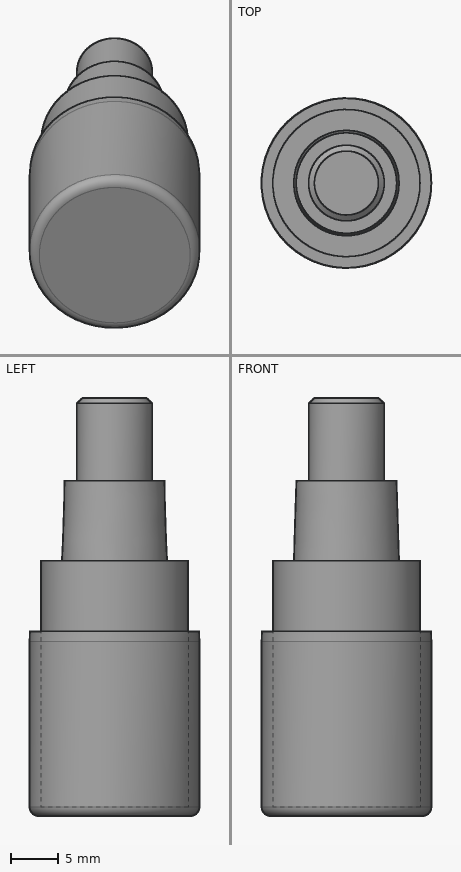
import cadquery as cq

TOTAL_HEIGHT = 44.25

SLEEVE_DIAMETER = 18.0
SLEEVE_HEIGHT = 19.55
BASE_FILLET = 1.0
RIM_HEIGHT = 1.05
RIM_TOP_DIAMETER = 17.9

SHANK_DIAMETER = 15.58
SHANK_TOP = 27.05
TAPER_BOTTOM_DIAMETER = 11.15
TAPER_TOP_DIAMETER = 10.6
TAPER_TOP = 35.5
TIP_DIAMETER = 8.0
TIP_CHAMFER_HEIGHT = 0.58
TIP_FLAT_DIAMETER = 6.75

SOCKET_FLOOR = BASE_FILLET


def revolve_about_z(profile):
    """Turn a closed (radius, height) outline into a solid of revolution about Z."""
    return profile.close().revolve(360, (0, 0, 0), (0, 1, 0))


def make_sleeve():
    """Round cup with a rounded base edge, a slightly tapered rim and a blind socket for the pin."""
    outer_radius = SLEEVE_DIAMETER / 2
    socket_radius = SHANK_DIAMETER / 2
    profile = (
        cq.Workplane("XZ")
        .moveTo(0, 0)
        .lineTo(outer_radius - BASE_FILLET, 0)
        .radiusArc((outer_radius, BASE_FILLET), -BASE_FILLET)
        .lineTo(outer_radius, SLEEVE_HEIGHT - RIM_HEIGHT)
        .lineTo(RIM_TOP_DIAMETER / 2, SLEEVE_HEIGHT)
        .lineTo(socket_radius, SLEEVE_HEIGHT)
        .lineTo(socket_radius, SOCKET_FLOOR)
        .lineTo(0, SOCKET_FLOOR)
    )
    return revolve_about_z(profile)


def make_pin():
    """Turned pin: straight shank, slightly tapered collar and chamfered tip."""
    profile = [
        (0, SOCKET_FLOOR),
        (SHANK_DIAMETER / 2, SOCKET_FLOOR),
        (SHANK_DIAMETER / 2, SHANK_TOP),
        (TAPER_BOTTOM_DIAMETER / 2, SHANK_TOP),
        (TAPER_TOP_DIAMETER / 2, TAPER_TOP),
        (TIP_DIAMETER / 2, TAPER_TOP),
        (TIP_DIAMETER / 2, TOTAL_HEIGHT - TIP_CHAMFER_HEIGHT),
        (TIP_FLAT_DIAMETER / 2, TOTAL_HEIGHT),
        (0, TOTAL_HEIGHT),
    ]
    return revolve_about_z(cq.Workplane("XZ").polyline(profile))


sleeve = make_sleeve()
pin = make_pin()

result = cq.Compound.makeCompound([sleeve.val(), pin.val()])